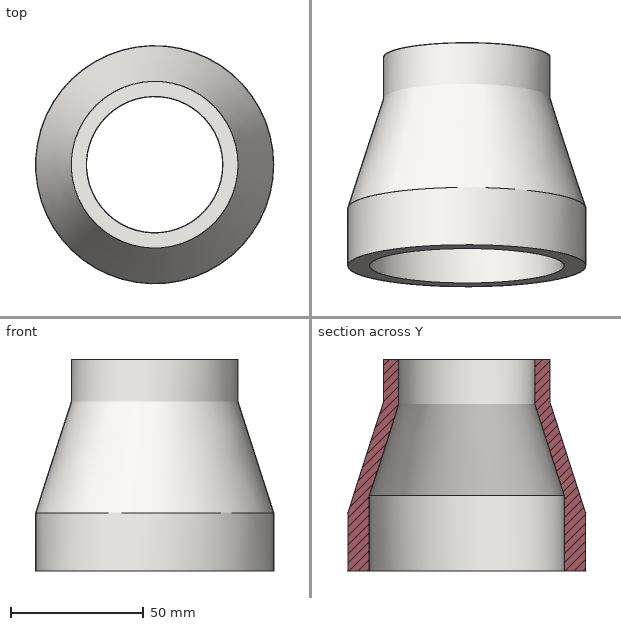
import math

import cadquery as cq

large_diameter = 90.0
small_diameter = 63.0
large_wall = 8.2
small_wall = 5.8

total_height = 80.0
large_spigot_height = 22.0
small_spigot_height = 16.0

large_radius = large_diameter / 2
small_radius = small_diameter / 2
cone_bottom = large_spigot_height
cone_top = total_height - small_spigot_height
cone_slope = (cone_top - cone_bottom) / (large_radius - small_radius)

large_bore_radius = large_radius - large_wall
small_bore_radius = small_radius - small_wall
cone_half_angle = math.atan(1 / cone_slope)
bore_cone_top = cone_top - small_wall * math.tan(cone_half_angle / 2)
bore_cone_bottom = bore_cone_top - (large_bore_radius - small_bore_radius) * cone_slope


def stepped_cone(lower_radius, upper_radius, lower_z, upper_z):
    """Full-height solid: lower cylinder, cone from lower_z to upper_z, upper cylinder."""
    return (
        cq.Workplane("XZ")
        .lineTo(lower_radius, 0)
        .lineTo(lower_radius, lower_z)
        .lineTo(upper_radius, upper_z)
        .lineTo(upper_radius, total_height)
        .lineTo(0, total_height)
        .close()
        .revolve(360, (0, 0), (0, 1))
    )


body = stepped_cone(large_radius, small_radius, cone_bottom, cone_top)
bore = stepped_cone(large_bore_radius, small_bore_radius, bore_cone_bottom, bore_cone_top)

result = body.cut(bore)